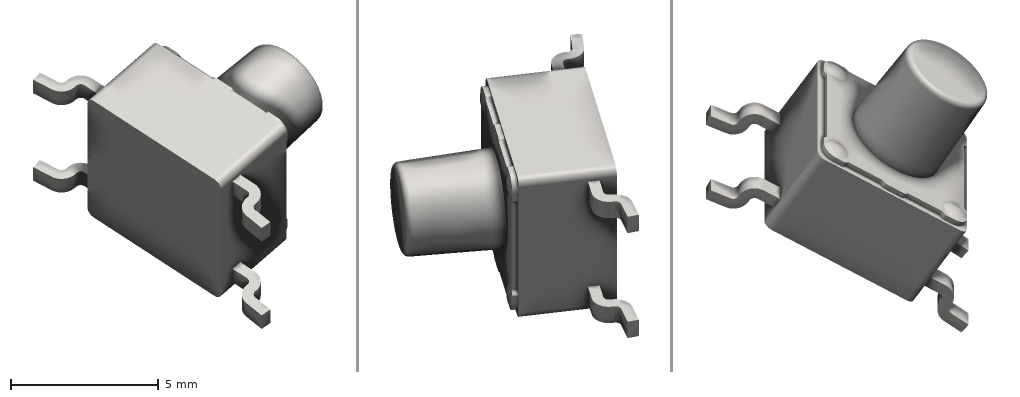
import math

import cadquery as cq


body_side = 6.0
body_depth = 3.4
body_corner_radius = 0.3

cover_side = 5.75
cover_thickness = 0.2
cover_corner_radius = 0.5
recess_depth = 0.12
recess_bend_radius = 0.1
corner_tab_end = 1.95
centre_tab_half_width = 0.45

dome_radius = 0.45
dome_height = 0.1
dome_offset = cover_side / 2 - cover_corner_radius

switch_height = 7.0
button_base_radius = 1.75
button_top_radius = 1.625
button_edge_radius = 0.2

lead_span = 10.35
lead_drop = 0.35
lead_width = 0.7
lead_pitch = 4.5
lead_thickness = 0.4
lead_front_y = 1.0
lead_inner_radius = 0.2
lead_outer_radius = lead_inner_radius + lead_thickness
lead_shank_x = 3.85
foot_angle = 6.0
lead_embed = 0.5

cover_front_y = body_depth + cover_thickness


def plane_facing_front(y):
    """Plane at the given y whose normal is +Y, with local x along Z and local y along X."""
    return cq.Plane(origin=(0, y, 0), xDir=(0, 0, 1), normal=(0, 1, 0))


def make_body():
    block = cq.Workplane(plane_facing_front(0)).rect(body_side, body_side).extrude(body_depth)
    return block.edges("|Y").fillet(body_corner_radius)


def edge_recess(start_x, end_x):
    """Cutter for a recess with 45 degree ends in the cover's +Z edge, placed by distances along X."""
    edge = cover_side / 2
    slope = recess_depth / 2
    profile = [
        (edge, start_x - slope),
        (edge - recess_depth, start_x + slope),
        (edge - recess_depth, end_x - slope),
        (edge, end_x + slope),
    ]
    return (
        cq.Workplane(plane_facing_front(body_depth))
        .polyline(profile)
        .close()
        .extrude(cover_thickness)
    )


def make_cover():
    cover = (
        cq.Workplane(plane_facing_front(body_depth))
        .rect(cover_side, cover_side)
        .extrude(cover_thickness)
        .edges("|Y")
        .fillet(cover_corner_radius)
    )
    beside_tab = edge_recess(centre_tab_half_width, corner_tab_end)
    full_recess = edge_recess(-corner_tab_end, corner_tab_end).rotate((0, 0, 0), (0, 1, 0), 90)
    for recess in (beside_tab, beside_tab.mirror("YZ")):
        cover = cover.cut(recess).cut(recess.mirror("XY"))
    cover = cover.cut(full_recess).cut(full_recess.mirror("YZ"))

    reach = corner_tab_end + recess_depth
    along_x = cq.selectors.BoxSelector((-reach, 0, -cover_side), (reach, switch_height, cover_side))
    along_z = cq.selectors.BoxSelector((-cover_side, 0, -reach), (cover_side, switch_height, reach))
    parallel_to_y = cq.selectors.ParallelDirSelector(cq.Vector(0, 1, 0))
    return cover.edges(parallel_to_y & (along_x + along_z)).fillet(recess_bend_radius)


def make_dome(x, z):
    """Spherical cap standing on the cover."""
    sphere_radius = (dome_radius**2 + dome_height**2) / (2 * dome_height)
    centre_y = cover_front_y + dome_height - sphere_radius
    sphere = cq.Workplane("XY").sphere(sphere_radius).translate((x, centre_y, z))
    column = (
        cq.Workplane(plane_facing_front(cover_front_y - cover_thickness / 2))
        .center(z, x)
        .circle(dome_radius)
        .extrude(cover_thickness)
    )
    return sphere.intersect(column)


def make_button():
    length = switch_height - body_depth
    button = (
        cq.Workplane(plane_facing_front(body_depth))
        .circle(button_base_radius)
        .workplane(offset=length)
        .circle(button_top_radius)
        .loft(ruled=True)
    )
    return button.faces(">Y").edges().fillet(button_edge_radius)


def point_on_circle(centre, radius, degrees):
    turn = math.radians(degrees)
    return (centre[0] + radius * math.cos(turn), centre[1] + radius * math.sin(turn))


def make_lead(z):
    """Gull-wing lead on the +X side, centred at z."""
    angle = math.radians(foot_angle)
    up_x, up_y = math.sin(angle), math.cos(angle)

    tip_front = (lead_span / 2, -lead_drop + lead_thickness * up_y)
    tip_back = (tip_front[0] - lead_thickness * up_x, -lead_drop)

    first_centre = (lead_shank_x - lead_inner_radius, lead_front_y - lead_outer_radius)
    second_x = lead_shank_x + lead_outer_radius
    foot_start_x = second_x - lead_outer_radius * up_x
    foot_start_y = tip_back[1] + (tip_back[0] - foot_start_x) * math.tan(angle)
    second_centre = (second_x, foot_start_y + lead_outer_radius * up_y)

    def first_bend(radius, degrees):
        return point_on_circle(first_centre, radius, degrees)

    def second_bend(radius, degrees):
        return point_on_circle(second_centre, radius, degrees)

    bend_start = 180
    bend_end = 270 - foot_angle
    bend_middle = (bend_start + bend_end) / 2
    root_x = body_side / 2 - lead_embed
    profile = (
        cq.Workplane("XY", origin=(0, 0, z - lead_width / 2))
        .moveTo(root_x, lead_front_y)
        .lineTo(*first_bend(lead_outer_radius, 90))
        .threePointArc(first_bend(lead_outer_radius, 45), first_bend(lead_outer_radius, 0))
        .lineTo(*second_bend(lead_inner_radius, bend_start))
        .threePointArc(
            second_bend(lead_inner_radius, bend_middle), second_bend(lead_inner_radius, bend_end)
        )
        .lineTo(*tip_front)
        .lineTo(*tip_back)
        .lineTo(*second_bend(lead_outer_radius, bend_end))
        .threePointArc(
            second_bend(lead_outer_radius, bend_middle), second_bend(lead_outer_radius, bend_start)
        )
        .lineTo(*first_bend(lead_inner_radius, 0))
        .threePointArc(first_bend(lead_inner_radius, 45), first_bend(lead_inner_radius, 90))
        .lineTo(root_x, lead_front_y - lead_thickness)
        .close()
    )
    return profile.extrude(lead_width)


result = make_body().union(make_cover()).union(make_button())

for side_x in (-1, 1):
    for side_z in (-1, 1):
        result = result.union(make_dome(side_x * dome_offset, side_z * dome_offset))

for side_z in (-1, 1):
    lead = make_lead(side_z * lead_pitch / 2)
    result = result.union(lead).union(lead.mirror("YZ"))